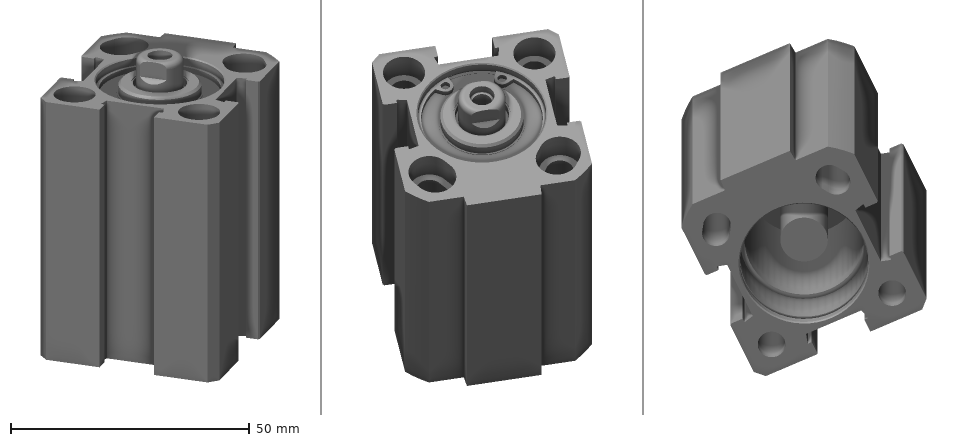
import cadquery as cq
import math


TOTAL_HEIGHT = 64
BODY_WIDTH = 40.0
BODY_DEPTH = 44.5
BODY_HEIGHT = 58.5
HALF_WIDTH = BODY_WIDTH / 2
BACK_FACE_Y = 22.0
BACK_RAIL_Y = BODY_DEPTH - HALF_WIDTH
RAIL_HALF_BASE = 8.2
RAIL_HALF_TOP = 8.0
BACK_CORNER_RADIUS = 27.0
FRONT_CHAMFER = 1.9

SLOT_HALF_MOUTH = 6.1
SLOT_HALF_UNDERCUT = 6.9
SLOT_HALF_FLOOR = 6.4
SLOT_LIP = 3.0
SLOT_TIP = 0.3
SLOT_DEPTH = 5.2
SLOT_EDGE_CHAMFER = 0.3

HOLE_DIAMETER = 5.8
COUNTERBORE_DIAMETER = 8.8
COUNTERBORE_DEPTH = 5.95
HOLE_OFFSET = 13.95
SLOTTED_HOLE_SHIFT_X = 0.95
SLOTTED_HOLE_SHIFT_Y = 1.5

BORE_DIAMETER = 25.0
POCKET_DIAMETER = 27.0
POCKET_DEPTH = 12.8
POCKET_CHAMFER = 0.25
GROOVE_DIAMETER = 28.4
GROOVE_SETBACK = 1.9
RING_THICKNESS = 1.15

COVER_DIAMETER = 26.9
COVER_TOP = BODY_HEIGHT - GROOVE_SETBACK - RING_THICKNESS
COVER_BOTTOM = BODY_HEIGHT - POCKET_DEPTH
COLLAR_DIAMETER = 17.5
COLLAR_HEIGHT = 2.55
COLLAR_CHAMFER = 0.5
COLLAR_FOOT_DIAMETER = 18.2
COLLAR_FOOT_HEIGHT = 0.1
WIPER_DIAMETER = 11.4
WIPER_DEPTH = 1.9
WIPER_LIP_DIAMETER = 12.0
WIPER_LIP_DEPTH = 0.2

RING_INNER_DIAMETER = 25.6
EAR_DISTANCE = 11.9
EAR_RADIUS = 1.65
EAR_HOLE_DIAMETER = 2.0
EAR_ANGLE = 30.5
EAR_ROOT_ANGLE = 10.3
GAP_HALF_ANGLE = EAR_ANGLE - math.degrees(math.asin(EAR_RADIUS / EAR_DISTANCE))
RING_TURN = -1.4

ROD_DIAMETER = 10.0
ROD_TIP_FILLET = 1.3
FLAT_WIDTH = 8.0
FLAT_LENGTH = 3.7
SOCKET_DIAMETER = 5.25
SOCKET_DEPTH = 1.9
THREAD_DIAMETER = 4.15
THREAD_DEPTH = 10.25
DRILL_POINT_ANGLE = 118


def disc(diameter, bottom, top):
    """A cylinder on the rod axis between two heights."""
    return cq.Workplane("XY").workplane(offset=bottom).circle(diameter / 2).extrude(top - bottom)


def housing_blank():
    """The full outline of the extrusion, with the back rail and the round back corners."""
    corner_x = math.sqrt(BACK_CORNER_RADIUS**2 - BACK_FACE_Y**2)
    corner_y = math.sqrt(BACK_CORNER_RADIUS**2 - HALF_WIDTH**2)
    middle_angle = (math.atan2(BACK_FACE_Y, corner_x) + math.atan2(corner_y, HALF_WIDTH)) / 2
    middle_x = BACK_CORNER_RADIUS * math.cos(middle_angle)
    middle_y = BACK_CORNER_RADIUS * math.sin(middle_angle)
    return (
        cq.Workplane("XY")
        .moveTo(-HALF_WIDTH + FRONT_CHAMFER, -HALF_WIDTH)
        .lineTo(HALF_WIDTH - FRONT_CHAMFER, -HALF_WIDTH)
        .lineTo(HALF_WIDTH, -HALF_WIDTH + FRONT_CHAMFER)
        .lineTo(HALF_WIDTH, corner_y)
        .threePointArc((middle_x, middle_y), (corner_x, BACK_FACE_Y))
        .lineTo(RAIL_HALF_BASE, BACK_FACE_Y)
        .lineTo(RAIL_HALF_TOP, BACK_RAIL_Y)
        .lineTo(-RAIL_HALF_TOP, BACK_RAIL_Y)
        .lineTo(-RAIL_HALF_BASE, BACK_FACE_Y)
        .lineTo(-corner_x, BACK_FACE_Y)
        .threePointArc((-middle_x, middle_y), (-HALF_WIDTH, corner_y))
        .lineTo(-HALF_WIDTH, -HALF_WIDTH + FRONT_CHAMFER)
        .close()
        .extrude(BODY_HEIGHT)
    )


def side_slot(angle, edge_chamfer):
    """An undercut slot in the +X side, turned about the rod axis by an angle."""
    lip_x = HALF_WIDTH - SLOT_LIP
    mouth = [(HALF_WIDTH, SLOT_HALF_MOUTH)]
    if edge_chamfer > 0:
        mouth = [
            (HALF_WIDTH, SLOT_HALF_MOUTH + edge_chamfer),
            (HALF_WIDTH - edge_chamfer, SLOT_HALF_MOUTH),
        ]
    half_outline = mouth + [
        (lip_x, SLOT_HALF_MOUTH),
        (lip_x, SLOT_HALF_UNDERCUT),
        (lip_x - SLOT_TIP, SLOT_HALF_UNDERCUT),
        (HALF_WIDTH - SLOT_DEPTH, SLOT_HALF_FLOOR),
    ]
    mirrored = [(x, -y) for x, y in reversed(half_outline)]
    slot = cq.Workplane("XY").polyline(half_outline + mirrored).close().extrude(BODY_HEIGHT)
    return slot.rotate((0, 0, 0), (0, 0, 1), angle)


def mounting_hole(diameter, side, bottom):
    """The round front hole and the slotted back hole of one side, from a height to the top face."""
    depth = BODY_HEIGHT - bottom
    front = (side * HOLE_OFFSET, -HOLE_OFFSET)
    back = (side * (HOLE_OFFSET - SLOTTED_HOLE_SHIFT_X / 2), HOLE_OFFSET + SLOTTED_HOLE_SHIFT_Y / 2)
    shift = math.hypot(SLOTTED_HOLE_SHIFT_X, SLOTTED_HOLE_SHIFT_Y)
    slope = math.degrees(math.atan2(SLOTTED_HOLE_SHIFT_Y, -side * SLOTTED_HOLE_SHIFT_X))
    plane = cq.Workplane("XY").workplane(offset=bottom)
    round_hole = plane.pushPoints([front]).circle(diameter / 2).extrude(depth)
    slotted_hole = plane.pushPoints([back]).slot2D(shift + diameter, diameter, slope).extrude(depth)
    return round_hole.union(slotted_hole)


def end_pocket():
    """The pocket at the lower end of the bore, with its chamfered mouth and its ring groove."""
    mouth_radius = POCKET_DIAMETER / 2 + POCKET_CHAMFER
    mouth = cq.Workplane("XY").circle(mouth_radius).extrude(POCKET_CHAMFER, taper=45)
    groove = disc(GROOVE_DIAMETER, GROOVE_SETBACK, GROOVE_SETBACK + RING_THICKNESS)
    return disc(POCKET_DIAMETER, 0, POCKET_DEPTH).union(mouth).union(groove)


def make_housing():
    """The extruded housing with its slots, mounting holes and stepped bore."""
    body = housing_blank()
    for angle, edge_chamfer in ((0, SLOT_EDGE_CHAMFER), (180, SLOT_EDGE_CHAMFER), (-90, 0)):
        body = body.cut(side_slot(angle, edge_chamfer))
    for side in (-1, 1):
        body = body.cut(mounting_hole(HOLE_DIAMETER, side, 0))
        body = body.cut(mounting_hole(COUNTERBORE_DIAMETER, side, BODY_HEIGHT - COUNTERBORE_DEPTH))
    body = body.cut(disc(BORE_DIAMETER, 0, BODY_HEIGHT))
    rear_pocket = end_pocket()
    front_pocket = rear_pocket.mirror("XY").translate((0, 0, BODY_HEIGHT))
    return body.cut(rear_pocket).cut(front_pocket)


def make_cover():
    """The rod cover, with a raised collar and a wiper recess around the rod."""
    collar_top = COVER_TOP + COLLAR_HEIGHT
    collar = disc(COLLAR_DIAMETER, COVER_TOP, collar_top).faces(">Z").chamfer(COLLAR_CHAMFER)
    foot = disc(COLLAR_FOOT_DIAMETER, COVER_TOP, COVER_TOP + COLLAR_FOOT_HEIGHT)
    recess = disc(WIPER_DIAMETER, collar_top - WIPER_DEPTH, collar_top)
    cover = disc(COVER_DIAMETER, COVER_BOTTOM, COVER_TOP).union(foot).union(collar).cut(recess)
    cover = cover.cut(disc(WIPER_LIP_DIAMETER, collar_top - WIPER_LIP_DEPTH, collar_top))
    return cover.cut(disc(ROD_DIAMETER, COVER_BOTTOM, collar_top))


def polar(distance, angle):
    """A point at an angle in degrees from the -Y direction, growing towards +X."""
    turn = math.radians(angle)
    return (distance * math.sin(turn), -distance * math.cos(turn))


def ring_ear(side):
    """One ear: an eye joined to the ring along the gap and by a tangent on its far side."""
    center_angle = side * EAR_ANGLE
    inner_radius = RING_INNER_DIAMETER / 2
    eye = polar(EAR_DISTANCE, center_angle)
    root = polar(inner_radius, center_angle + side * EAR_ROOT_ANGLE)
    root_dx = root[0] - eye[0]
    root_dy = root[1] - eye[1]
    tangent_turn = side * math.acos(EAR_RADIUS / math.hypot(root_dx, root_dy))
    tangent_angle = math.atan2(root_dy, root_dx) + tangent_turn
    tangent = (eye[0] + EAR_RADIUS * math.cos(tangent_angle), eye[1] + EAR_RADIUS * math.sin(tangent_angle))
    rim_radius = (RING_INNER_DIAMETER + GROOVE_DIAMETER) / 4
    gap_edge = math.sqrt(EAR_DISTANCE**2 - EAR_RADIUS**2)
    outline = [
        eye,
        tangent,
        root,
        polar(rim_radius, center_angle + side * EAR_ROOT_ANGLE),
        polar(rim_radius, center_angle),
        polar(rim_radius, side * GAP_HALF_ANGLE),
        polar(gap_edge, side * GAP_HALF_ANGLE),
    ]
    plane = cq.Workplane("XY").workplane(offset=COVER_TOP)
    web = plane.polyline(outline).close().extrude(RING_THICKNESS)
    eye_disc = plane.pushPoints([eye]).circle(EAR_RADIUS).extrude(RING_THICKNESS)
    hole = plane.pushPoints([eye]).circle(EAR_HOLE_DIAMETER / 2).extrude(RING_THICKNESS)
    return web.union(eye_disc).cut(hole)


def make_retaining_ring():
    """The open ring in the front groove, with two eyes beside its gap."""
    ring_top = COVER_TOP + RING_THICKNESS
    ring = disc(GROOVE_DIAMETER, COVER_TOP, ring_top).cut(disc(RING_INNER_DIAMETER, COVER_TOP, ring_top))
    gap_points = [(0, 0), polar(GROOVE_DIAMETER, -GAP_HALF_ANGLE), polar(GROOVE_DIAMETER, GAP_HALF_ANGLE)]
    gap = cq.Workplane("XY").workplane(offset=COVER_TOP).polyline(gap_points).close().extrude(RING_THICKNESS)
    ring = ring.cut(gap)
    for side in (-1, 1):
        ring = ring.union(ring_ear(side))
    return ring.rotate((0, 0, 0), (0, 0, 1), RING_TURN)


def wrench_flat(side):
    """The material outside one flat, ending below in a 45 degree run-out."""
    inner = FLAT_WIDTH / 2
    outer = ROD_DIAMETER
    flat_bottom = TOTAL_HEIGHT - FLAT_LENGTH
    outline = [
        (side * inner, TOTAL_HEIGHT),
        (side * inner, flat_bottom),
        (side * outer, flat_bottom - (outer - inner)),
        (side * outer, TOTAL_HEIGHT),
    ]
    return cq.Workplane("YZ").polyline(outline).close().extrude(ROD_DIAMETER / 2, both=True)


def threaded_socket():
    """The stepped end hole with its conical drill point."""
    socket_bottom = TOTAL_HEIGHT - SOCKET_DEPTH
    thread_bottom = TOTAL_HEIGHT - THREAD_DEPTH
    thread_radius = THREAD_DIAMETER / 2
    tip = thread_bottom - thread_radius / math.tan(math.radians(DRILL_POINT_ANGLE / 2))
    outline = [
        (0, TOTAL_HEIGHT),
        (SOCKET_DIAMETER / 2, TOTAL_HEIGHT),
        (SOCKET_DIAMETER / 2, socket_bottom),
        (thread_radius, socket_bottom),
        (thread_radius, thread_bottom),
        (0, tip),
    ]
    return cq.Workplane("XZ").polyline(outline).close().revolve(360, (0, 0, 0), (0, 1, 0))


def make_rod():
    """The round rod with a rounded tip, two wrench flats and an end hole."""
    rod = disc(ROD_DIAMETER, POCKET_DEPTH, TOTAL_HEIGHT).faces(">Z").edges().fillet(ROD_TIP_FILLET)
    for side in (-1, 1):
        rod = rod.cut(wrench_flat(side))
    return rod.cut(threaded_socket())


housing = make_housing()
cover = make_cover()
retaining_ring = make_retaining_ring()
rod = make_rod()

result = cq.Compound.makeCompound([housing.val(), cover.val(), retaining_ring.val(), rod.val()])